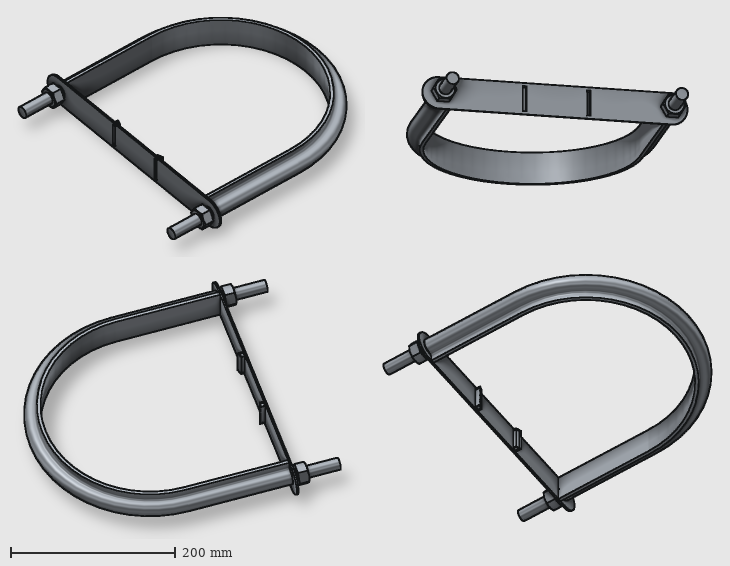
import cadquery as cq
import math

bend_radius = 143.0
rod_end_y = -196.0

body_diameter = 17.8
thread_diameter = 15.5

sleeve_diameter = 20.2
sleeve_radius = sleeve_diameter / 2
sleeve_width = 40.0
wing_thickness = 4.5
wing_root_z = 15.0

plate_length = 331.0
plate_width = sleeve_width
plate_centre_x = -2.0
plate_thickness = 2.5
plate_front_y = -136.0
plate_back_y = plate_front_y + plate_thickness
shoulder_y = plate_front_y - 1.0

louvre_inner_x = 36.3
louvre_outer_x = 43.5
louvre_length = 34.0
louvre_low_height = 4.5
louvre_high_height = 7.0
slot_length = 32.0
slot_roof = 1.5
slot_inner_x = 37.7
slot_outer_x = 42.2

nut_across_flats = 25.0
nut_across_corners = nut_across_flats / math.cos(math.pi / 6)
nut_height = 13.3
nut_back_y = -141.0
nut_front_y = nut_back_y - nut_height
nut_chamfer_height = 1.5
nut_face_diameter = 24.0


def leg_cylinder(x, diameter, y_start, y_end):
    """Cylinder along a leg, from y_start down to y_end."""
    plane = cq.Workplane("XZ", origin=(x, y_start, 0))
    return plane.circle(diameter / 2).extrude(y_start - y_end)


def sweep_along_u(make_profile, leg_end_y):
    """Carry a profile up one leg, around the bend and down the other leg."""
    leg_length = -leg_end_y
    body = make_profile(-bend_radius, 1, leg_end_y).extrude(-leg_length)
    body = body.union(make_profile(bend_radius, -1, leg_end_y).extrude(-leg_length))
    bend = make_profile(-bend_radius, 1, 0).revolve(180, (bend_radius, 0, 0), (bend_radius, -1, 0))
    return body.union(bend)


def rod_profile(x, inward, y):
    return cq.Workplane("XZ", origin=(x, y, 0)).circle(body_diameter / 2)


def sleeve_profile(x, inward, y):
    """Round back blended by fillets into flat wings; inward is the X sign toward the bend centre."""
    wing_back = sleeve_radius - wing_thickness
    edge_z = sleeve_width / 2
    fillet_radius = (wing_back**2 + wing_root_z**2 - sleeve_radius**2) / (2 * (sleeve_radius + wing_back))
    fillet_x = wing_back - fillet_radius
    centre_distance = sleeve_radius + fillet_radius
    tangent_x = fillet_x * sleeve_radius / centre_distance
    tangent_z = wing_root_z * sleeve_radius / centre_distance
    middle_angle = math.atan2(-wing_root_z, -fillet_x) / 2
    middle_x = fillet_x + fillet_radius * math.cos(middle_angle)
    middle_z = wing_root_z + fillet_radius * math.sin(middle_angle)

    def point(offset, z):
        return (inward * offset, z)

    return (
        cq.Workplane("XZ", origin=(x, y, 0))
        .moveTo(*point(sleeve_radius, -edge_z))
        .lineTo(*point(sleeve_radius, edge_z))
        .lineTo(*point(wing_back, edge_z))
        .lineTo(*point(wing_back, wing_root_z))
        .threePointArc(point(middle_x, middle_z), point(tangent_x, tangent_z))
        .threePointArc(point(-sleeve_radius, 0), point(tangent_x, -tangent_z))
        .threePointArc(point(middle_x, -middle_z), point(wing_back, -wing_root_z))
        .lineTo(*point(wing_back, -edge_z))
        .close()
    )


def make_rod():
    rod = sweep_along_u(rod_profile, shoulder_y)
    for x in (-bend_radius, bend_radius):
        rod = rod.union(leg_cylinder(x, thread_diameter, shoulder_y, rod_end_y))
    return rod


def make_sleeve():
    return sweep_along_u(sleeve_profile, plate_back_y).cut(sweep_along_u(rod_profile, plate_back_y))


def make_louvre(side):
    """Solid louvre and the slot beneath its sloping roof; side is the sign of X."""
    slope = (louvre_high_height - louvre_low_height) / (louvre_outer_x - louvre_inner_x)

    def roof_y(x):
        return plate_back_y + louvre_low_height + slope * (side * x - louvre_inner_x)

    def block(inner_x, outer_x, base_y, roof_offset, length):
        x_start = side * inner_x
        x_end = side * outer_x
        corners = [
            (x_start, base_y),
            (x_end, base_y),
            (x_end, roof_y(x_end) - roof_offset),
            (x_start, roof_y(x_start) - roof_offset),
        ]
        return cq.Workplane("XY").polyline(corners).close().extrude(length / 2, both=True)

    hood = block(louvre_inner_x, louvre_outer_x, plate_back_y, 0, louvre_length)
    slot = block(slot_inner_x, slot_outer_x, plate_front_y, slot_roof, slot_length)
    return hood, slot


def make_plate():
    plate = (
        cq.Workplane("XZ", origin=(plate_centre_x, plate_back_y, 0))
        .slot2D(plate_length, plate_width)
        .extrude(plate_thickness)
    )
    for x in (-bend_radius, bend_radius):
        plate = plate.cut(leg_cylinder(x, body_diameter, plate_back_y, plate_front_y))
    for side in (-1, 1):
        hood, slot = make_louvre(side)
        plate = plate.union(hood).cut(slot)
    return plate


def make_nut(x):
    hexagon = (
        cq.Workplane("XZ", origin=(x, nut_back_y, 0))
        .polygon(6, nut_across_corners)
        .extrude(nut_height)
    )
    corner_radius = nut_across_corners / 2
    chamfer_envelope = (
        cq.Workplane("XY", origin=(x, 0, 0))
        .moveTo(0, nut_back_y)
        .lineTo(corner_radius, nut_back_y)
        .lineTo(corner_radius, nut_front_y + nut_chamfer_height)
        .lineTo(nut_face_diameter / 2, nut_front_y)
        .lineTo(0, nut_front_y)
        .close()
        .revolve(360, (0, 0, 0), (0, 1, 0))
    )
    bore = leg_cylinder(x, thread_diameter, nut_back_y, nut_front_y)
    return hexagon.intersect(chamfer_envelope).cut(bore)


rod = make_rod()
sleeve = make_sleeve()
plate = make_plate()
nuts = [make_nut(x).val() for x in (-bend_radius, bend_radius)]

result = cq.Compound.makeCompound([rod.val(), sleeve.val(), plate.val(), *nuts])